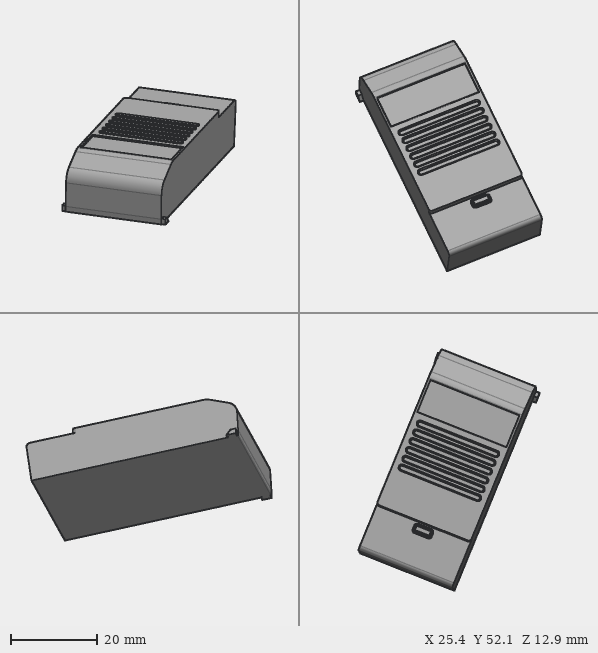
import cadquery as cq
import math


length = 52.15
height = 12.9
body_width = 23.55

deck_height = 11.4
step_y = 40.95
step_corner_radius = 0.7
rear_wall_lean = 6.7
rear_edge_radius = 1.0

band_height = 1.45
front_wall_lean = 3.0
nose_slope = 25.0
slope_top_y = 7.75
nose_radius = 3.65
crest_radius = 3.9
base_edge_radius = 0.15

lug_span = 25.45
lug_height = 1.4
lug_front_y = 0.3
lug_top_rear_y = 1.55
lug_base_rear_y = 2.6

slot_count = 6
slot_length = 20.65
slot_width = 1.6
slot_pitch = 2.25
slot_depth = 0.3
slot_taper = 45.0
first_slot_y = 19.5

label_width = 22.3
label_length = 8.15
label_depth = 0.4
label_front_y = 8.95

switch_x = -0.5
switch_y = 42.55
switch_width = 4.8
switch_length = 2.35
switch_corner_radius = 0.75
flange_height = 0.15
flange_taper = 60.0
button_height = 0.4
button_taper = 20.0
button_edge = 0.2


def make_body():
    """Side profile extruded across the width, with its long edges rounded."""
    lean = math.tan(math.radians(rear_wall_lean))
    rounding_setback = rear_edge_radius * (1 / math.cos(math.radians(rear_wall_lean)) - 1)
    base_length = length - (deck_height - rear_edge_radius) * lean + rounding_setback
    deck_rear_y = base_length + deck_height * lean

    wall_run = math.tan(math.radians(front_wall_lean))
    slope_rise = math.tan(math.radians(nose_slope))
    nose_y = ((height - band_height - slope_top_y * slope_rise) * wall_run
              / (1 - wall_run * slope_rise))
    nose_z = height - (slope_top_y - nose_y) * slope_rise

    profile = [
        (0, 0),
        (0, band_height),
        (nose_y, nose_z),
        (slope_top_y, height),
        (step_y, height),
        (step_y, deck_height),
        (deck_rear_y, deck_height),
        (base_length, 0),
    ]
    body = cq.Workplane("YZ").polyline(profile).close().extrude(body_width / 2, both=True)

    roundings = [
        (0, 0, base_edge_radius),
        (base_length, 0, base_edge_radius),
        (nose_y, nose_z, nose_radius),
        (slope_top_y, height, crest_radius),
        (deck_rear_y, deck_height, rear_edge_radius),
    ]
    for y, z, radius in roundings:
        body = body.edges(cq.selectors.NearestToPointSelector((0, y, z))).fillet(radius)

    for side in (-1, 1):
        step_corner = (side * body_width / 2, step_y, (deck_height + height) / 2)
        body = body.edges(cq.selectors.NearestToPointSelector(step_corner)).fillet(step_corner_radius)
    return body


def make_lugs():
    """One bar through the foot of the body whose ends stand out as the two lugs."""
    profile = [
        (lug_front_y, 0),
        (lug_front_y, lug_height),
        (lug_top_rear_y, lug_height),
        (lug_base_rear_y, 0),
    ]
    return cq.Workplane("YZ").polyline(profile).close().extrude(lug_span / 2, both=True)


def make_slots():
    """Row of tapered slot cutters sunk from the top face."""
    centres = [(0, first_slot_y + i * slot_pitch) for i in range(slot_count)]
    return (
        cq.Workplane("XY", origin=(0, 0, height))
        .pushPoints(centres)
        .slot2D(slot_length, slot_width)
        .extrude(-slot_depth, taper=slot_taper)
    )


def make_label_recess():
    """Shallow rectangular cutter for the label."""
    return (
        cq.Workplane("XY", origin=(0, label_front_y + label_length / 2, height))
        .rect(label_width, label_length)
        .extrude(-label_depth)
    )


def rounded_prism(base_z, width, depth, corner_radius, rise, taper):
    """Tapered block with rounded corners, centred on the switch position."""
    outline = cq.Sketch().rect(width, depth).vertices().fillet(corner_radius)
    base = cq.Workplane("XY", origin=(switch_x, switch_y, base_z))
    return base.placeSketch(outline).extrude(rise, taper=taper)


def make_switch():
    """Button with a chamfered top on a flared flange."""
    flange = rounded_prism(
        deck_height, switch_width, switch_length, switch_corner_radius, flange_height, flange_taper
    )
    flare = flange_height * math.tan(math.radians(flange_taper))
    button = rounded_prism(
        deck_height + flange_height,
        switch_width - 2 * flare,
        switch_length - 2 * flare,
        switch_corner_radius - flare,
        button_height,
        button_taper,
    )
    return flange.union(button.faces(">Z").edges().chamfer(button_edge))


result = (
    make_body()
    .union(make_lugs())
    .union(make_switch())
    .cut(make_slots())
    .cut(make_label_recess())
)